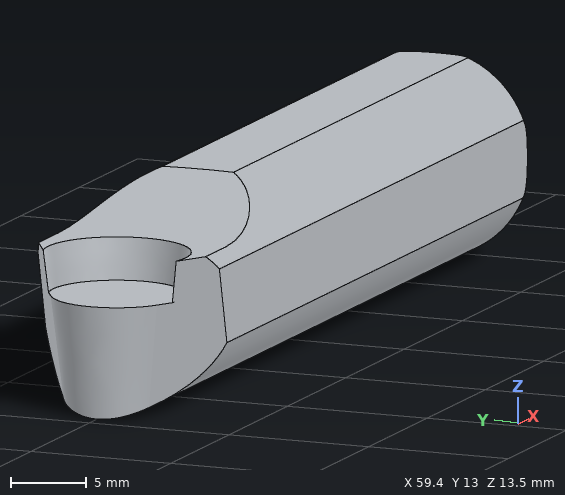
import cadquery as cq
import math

length = 59.35
shank_radius = 7.0
width_across_flats = 13.0
overall_height = 13.5
end_round = 1.0

nose_radius = 4.4
nose_draft = 7.0
flank_angle = 30.0

seat_z = 0.8
pocket_radius = 4.55

floor_z = 3.6
floor_radius = 12.35
floor_end_x = 10.25
run_out_radius = 13.0

clearance = 2.95
top_flat_z = overall_height - shank_radius
draft_slope = math.tan(math.radians(nose_draft))


def make_shank():
    bar = cq.Workplane("YZ").circle(shank_radius).extrude(length)
    bar = bar.faces(">X").edges().fillet(end_round)
    flats = (
        cq.Workplane("XY")
        .box(length, width_across_flats, overall_height, centered=(False, True, False))
        .translate((0, 0, top_flat_z - overall_height))
    )
    return bar.intersect(flats)


def make_nose_envelope():
    """Volume inside the drafted nose, widening upwards and past the shank."""
    bottom_radius = nose_radius - (seat_z + shank_radius) * draft_slope
    angle = math.radians(flank_angle)
    tangent_x = nose_radius - bottom_radius * math.sin(angle)
    tangent_y = bottom_radius * math.cos(angle)
    side_y = shank_radius + clearance
    side_x = tangent_x + (side_y - tangent_y) / math.tan(angle)
    back_x = length + clearance
    return (
        cq.Workplane("XY", origin=(0, 0, -shank_radius))
        .moveTo(tangent_x, -tangent_y)
        .threePointArc((nose_radius - bottom_radius, 0), (tangent_x, tangent_y))
        .lineTo(side_x, side_y)
        .lineTo(back_x, side_y)
        .lineTo(back_x, -side_y)
        .lineTo(side_x, -side_y)
        .close()
        .extrude(2 * shank_radius, taper=-nose_draft)
    )


def make_top_relief():
    axis_x = floor_end_x - floor_radius
    arc_angle = math.radians(60)
    arc_center_z = floor_z + run_out_radius

    def arc_point(angle):
        return (
            floor_radius + run_out_radius * math.sin(angle),
            arc_center_z - run_out_radius * math.cos(angle),
        )

    end_point = arc_point(arc_angle)
    return (
        cq.Workplane("XZ")
        .moveTo(0, floor_z)
        .lineTo(floor_radius, floor_z)
        .threePointArc(arc_point(arc_angle / 2), end_point)
        .lineTo(0, end_point[1])
        .close()
        .revolve(360, (0, 0, 0), (0, 1, 0))
        .translate((axis_x, 0, 0))
    )


def make_pocket():
    return (
        cq.Workplane("XY", origin=(nose_radius, 0, seat_z))
        .circle(pocket_radius)
        .extrude(shank_radius - seat_z, taper=-nose_draft)
    )


result = make_shank().intersect(make_nose_envelope()).cut(make_top_relief()).cut(make_pocket())